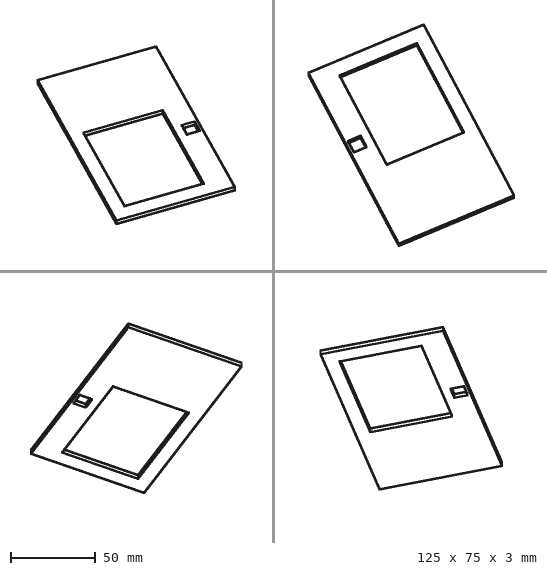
import cadquery as cq

plate_length = 125.0
plate_width = 75.0
plate_thickness = 3.0

window_length = 65.2
window_width = 50.2
window_left = 50.4
window_front = 8.9

square_side = 8.2
square_left = 66.0
square_back_margin = 1.9
square_front = plate_width - square_back_margin - square_side


def block(left, front, length, width):
    """Rectangular block of full plate thickness, placed by its front left corner."""
    return (
        cq.Workplane("XY")
        .box(length, width, plate_thickness, centered=False)
        .translate((left, front, 0))
    )


plate = block(0, 0, plate_length, plate_width)
window = block(window_left, window_front, window_length, window_width)
square_opening = block(square_left, square_front, square_side, square_side)

result = plate.cut(window).cut(square_opening)